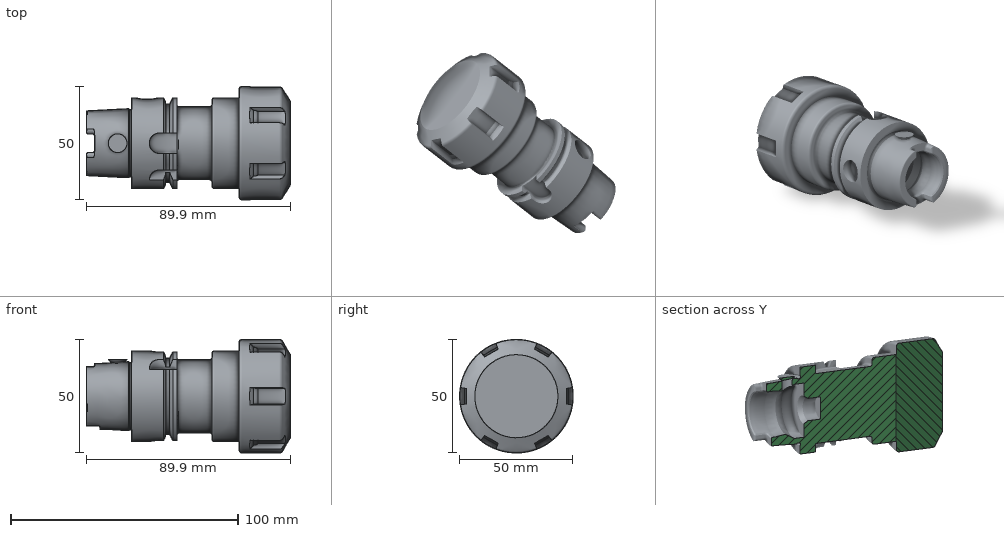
import cadquery as cq
import math


position_tolerance = 0.001

shank_length = 20.0
shank_end_radius = 14.28
shank_base_radius = 15.2
shank_end_round = 0.5
shank_taper_end = -2.0
undercut_start = -1.4
undercut_radius = 14.8
undercut_face_depth = 0.3
undercut_fillet = 0.7
undercut_face_inner_radius = 15.7
undercut_face_outer_radius = 16.1

flange_radius = 20.0
flange_length = 20.0
groove_start = 14.0
groove_step_x = 14.75
groove_step_radius = 18.5
groove_floor_start = 15.0
groove_floor_end = 16.7
groove_end = 18.1
groove_radius = 17.4

neck_radius = 16.1
neck_front_fillet = 0.7
neck_rear_fillet = 1.0
collar_start = 35.35
collar_radius = 20.0
collar_round = 1.1

nut_start = 47.3
nut_end = 69.9
nut_radius = 25.0
nut_round = 1.3
nut_cone_start = 65.93
nut_cone_end_radius = 18.3
nut_cone_round = 1.5

bore_radius = 10.45
bore_mouth_chamfer = 0.5
bore_cone_start = -12.0
bore_cone_end = -7.0
bore_throat_radius = 9.85
clamp_groove_radius = 12.3
clamp_groove_angle = 30
bore_end = 2.0
pilot_mouth_radius = 6.4
pilot_mouth_chamfer = 0.2
pilot_radius = 5.0
pilot_cone_end = 4.0
pilot_end = 10.0

cross_hole_x = -6.2
cross_hole_radius = 2.3
cross_hole_rim_radius = 2.9

notch_half_width = 4.05
notch_floor_round = 0.9
notch_flare_radius = 1.5
notch_entry_round = 0.9
top_notch_depth = 3.7
bottom_notch_depth = 6.0

slot_width = 9.0
slot_end = 7.75
slot_floor_fillet = 0.5
side_slot_depth = 11.78

recess_x = 6.75
recess_radius = 5.0
recess_depth = 4.5

wrench_slot_count = 6
wrench_slot_start = 51.9
wrench_slot_radius = 22.0
wrench_slot_mouth_width = 7.8
wrench_slot_floor_width = 6.75
wrench_slot_fillet = 2.5
wrench_slot_ramp_angle = 50


def revolve_about_x(outline):
    return outline.close().revolve(360, (0, 0, 0), (1, 0, 0))


def chuck_outline():
    return (
        cq.Workplane("XY")
        .moveTo(-shank_length, 0)
        .lineTo(-shank_length, shank_end_radius - shank_end_round)
        .radiusArc((-shank_length + shank_end_round, shank_end_radius), shank_end_round)
        .lineTo(shank_taper_end, shank_base_radius)
        .lineTo(undercut_start, shank_base_radius)
        .lineTo(undercut_start + shank_base_radius - undercut_radius, undercut_radius)
        .lineTo(undercut_face_depth - undercut_fillet, undercut_radius)
        .radiusArc((undercut_face_depth, undercut_radius + undercut_fillet), -undercut_fillet)
        .lineTo(undercut_face_depth, undercut_face_inner_radius)
        .lineTo(0, undercut_face_outer_radius)
        .lineTo(0, flange_radius)
        .lineTo(flange_length, flange_radius)
        .lineTo(flange_length, neck_radius + neck_front_fillet)
        .radiusArc((flange_length + neck_front_fillet, neck_radius), -neck_front_fillet)
        .lineTo(collar_start - neck_rear_fillet, neck_radius)
        .radiusArc((collar_start, neck_radius + neck_rear_fillet), -neck_rear_fillet)
        .lineTo(collar_start, collar_radius - collar_round)
        .radiusArc((collar_start + collar_round, collar_radius), collar_round)
        .lineTo(nut_start, collar_radius)
        .lineTo(nut_start, 0)
    )


def gripper_groove():
    return revolve_about_x(
        cq.Workplane("XY")
        .moveTo(groove_start, flange_radius)
        .lineTo(groove_step_x, groove_step_radius)
        .lineTo(groove_floor_start, groove_radius)
        .lineTo(groove_floor_end, groove_radius)
        .lineTo(groove_end, flange_radius)
    )


def bore():
    clamp_groove_rise = clamp_groove_radius - bore_throat_radius
    clamp_groove_start = bore_cone_end + clamp_groove_rise / math.tan(math.radians(clamp_groove_angle))
    return revolve_about_x(
        cq.Workplane("XY")
        .moveTo(-shank_length, 0)
        .lineTo(-shank_length, bore_radius)
        .lineTo(bore_cone_start, bore_radius)
        .lineTo(bore_cone_end, bore_throat_radius)
        .lineTo(clamp_groove_start, clamp_groove_radius)
        .lineTo(bore_end, clamp_groove_radius)
        .lineTo(bore_end, pilot_mouth_radius)
        .lineTo(bore_end + pilot_mouth_chamfer, pilot_mouth_radius - pilot_mouth_chamfer)
        .lineTo(pilot_cone_end, pilot_radius)
        .lineTo(pilot_end, pilot_radius)
        .lineTo(pilot_end, 0)
    )


def cross_hole():
    """Hole through both walls of the shank, countersunk from the taper surface."""
    slope = (shank_base_radius - shank_end_radius) / (shank_taper_end + shank_length - shank_end_round)
    surface_z = shank_base_radius - slope * (shank_taper_end - cross_hole_x)
    sink_z = surface_z - (cross_hole_rim_radius - cross_hole_radius)
    top_z = shank_base_radius + 1
    top_radius = cross_hole_radius + top_z - sink_z
    return (
        cq.Workplane("XZ", origin=(cross_hole_x, 0, 0))
        .moveTo(0, -top_z)
        .lineTo(top_radius, -top_z)
        .lineTo(cross_hole_radius, -sink_z)
        .lineTo(cross_hole_radius, sink_z)
        .lineTo(top_radius, top_z)
        .lineTo(0, top_z)
        .close()
        .revolve(360, (0, 0, 0), (0, 1, 0))
    )


def drive_notch(depth, side):
    """Notch in the shank end; its walls flare at the taper surface and at the end face."""
    round_y = notch_half_width + notch_flare_radius
    round_z = math.sqrt((shank_end_radius - notch_flare_radius) ** 2 - round_y**2)
    outward = math.atan2(round_z, round_y)
    flare_y = round_y + notch_flare_radius * math.cos(outward)
    flare_z = round_z + notch_flare_radius * math.sin(outward)
    reach = flange_radius / shank_end_radius
    notch = (
        cq.Workplane("YZ", origin=(-shank_length, 0, 0))
        .moveTo(-notch_half_width, 0)
        .lineTo(-notch_half_width, round_z)
        .radiusArc((-flare_y, flare_z), -notch_flare_radius)
        .lineTo(-flare_y * reach, flare_z * reach)
        .lineTo(flare_y * reach, flare_z * reach)
        .lineTo(flare_y, flare_z)
        .radiusArc((notch_half_width, round_z), -notch_flare_radius)
        .lineTo(notch_half_width, 0)
        .close()
        .extrude(depth)
        .edges(">X")
        .edges("not(<Z or >Z)")
        .fillet(notch_floor_round)
    )
    entry_half_width = notch_half_width + notch_entry_round
    entry_end = -shank_length + notch_entry_round
    entry = (
        cq.Workplane("XY")
        .moveTo(-shank_length, -entry_half_width)
        .radiusArc((entry_end, -notch_half_width), notch_entry_round)
        .lineTo(entry_end, notch_half_width)
        .radiusArc((-shank_length, entry_half_width), notch_entry_round)
        .close()
        .extrude(flange_radius)
    )
    notch = notch.union(entry)
    return notch if side > 0 else notch.mirror("XY")


def keyway(center_y, floor_z):
    """Slot milled from above, with a round end and open at the rear of the flange."""
    radius = slot_width / 2
    arc_x = slot_end + radius
    return (
        cq.Workplane("XY", origin=(0, center_y, floor_z))
        .moveTo(flange_length, -radius)
        .lineTo(arc_x, -radius)
        .threePointArc((slot_end, 0), (arc_x, radius))
        .lineTo(flange_length, radius)
        .close()
        .extrude(flange_radius - floor_z)
        .edges("<Z")
        .edges("not >X")
        .fillet(slot_floor_fillet)
    )


def cut_keyways(body):
    """Cuts the keyways at the top, the bottom and the upper -Y side of the flange."""
    top_keyway = keyway(0, neck_radius)
    side_keyway = keyway(-side_slot_depth - slot_width / 2, side_slot_depth)
    return body.cut(top_keyway).cut(top_keyway.mirror("XY")).cut(side_keyway)


def data_chip_recess():
    return (
        cq.Workplane("XZ", origin=(recess_x, flange_radius, 0))
        .circle(recess_radius)
        .extrude(recess_depth)
    )


def wrench_slot():
    """Slot on the -Y side with tapered walls; a ramp at the rear fillets into its floor."""
    depth = nut_radius - wrench_slot_radius
    ramp = math.radians(wrench_slot_ramp_angle)
    corner_x = wrench_slot_start + depth / math.tan(ramp)
    tangent = wrench_slot_fillet * math.tan(ramp / 2)
    side_profile = (
        cq.Workplane("XY")
        .moveTo(corner_x - 2 * depth / math.tan(ramp), -wrench_slot_radius - 2 * depth)
        .lineTo(corner_x - tangent * math.cos(ramp), -wrench_slot_radius - tangent * math.sin(ramp))
        .radiusArc((corner_x + tangent, -wrench_slot_radius), -wrench_slot_fillet)
        .lineTo(nut_end, -wrench_slot_radius)
        .lineTo(nut_end, -wrench_slot_radius - 2 * depth)
        .close()
        .extrude(wrench_slot_mouth_width, both=True)
    )
    outer_width = 2 * wrench_slot_mouth_width - wrench_slot_floor_width
    end_profile = (
        cq.Workplane("YZ")
        .moveTo(-wrench_slot_radius, -wrench_slot_floor_width / 2)
        .lineTo(-wrench_slot_radius, wrench_slot_floor_width / 2)
        .lineTo(-wrench_slot_radius - 2 * depth, outer_width / 2)
        .lineTo(-wrench_slot_radius - 2 * depth, -outer_width / 2)
        .close()
        .extrude(nut_end)
    )
    return side_profile.intersect(end_profile)


def is_bore_mouth(edge):
    """True for the edges where the bore meets the shank end face and the drive notches."""
    points = edge.positions([0, 0.25, 0.5, 0.75, 1])
    on_bore = all(math.isclose(math.hypot(p.y, p.z), bore_radius, abs_tol=position_tolerance) for p in points)
    on_end_face = all(math.isclose(p.x, -shank_length, abs_tol=position_tolerance) for p in points)
    in_notch = all(
        abs(p.y) < notch_half_width + notch_entry_round + position_tolerance and p.x < bore_cone_start
        for p in points
    )
    return on_bore and (on_end_face or in_notch)


def build_chuck():
    chuck = cut_keyways(revolve_about_x(chuck_outline()).cut(bore())).cut(gripper_groove())
    chuck = chuck.cut(cross_hole())
    chuck = chuck.cut(drive_notch(top_notch_depth, 1)).cut(drive_notch(bottom_notch_depth, -1))
    bore_mouth = [edge for edge in chuck.edges().vals() if is_bore_mouth(edge)]
    chuck = chuck.newObject(bore_mouth).chamfer(bore_mouth_chamfer)
    return chuck.cut(data_chip_recess())


def build_nut():
    cone_angle = math.atan2(nut_radius - nut_cone_end_radius, nut_end - nut_cone_start)
    cone_tangent = nut_cone_round * math.tan(cone_angle / 2)
    cone_round_x = nut_cone_start + cone_tangent * math.cos(cone_angle)
    cone_round_radius = nut_radius - cone_tangent * math.sin(cone_angle)
    nut = revolve_about_x(
        cq.Workplane("XY")
        .moveTo(nut_start, 0)
        .lineTo(nut_start, nut_radius - nut_round)
        .radiusArc((nut_start + nut_round, nut_radius), nut_round)
        .lineTo(nut_cone_start - cone_tangent, nut_radius)
        .radiusArc((cone_round_x, cone_round_radius), nut_cone_round)
        .lineTo(nut_end, nut_cone_end_radius)
        .lineTo(nut_end, 0)
    )
    slot = wrench_slot()
    for index in range(wrench_slot_count):
        angle = index * 360 / wrench_slot_count
        nut = nut.cut(slot.rotate((0, 0, 0), (1, 0, 0), angle))
    return nut


chuck = build_chuck()
nut = build_nut()
result = cq.Compound.makeCompound([chuck.val(), nut.val()])